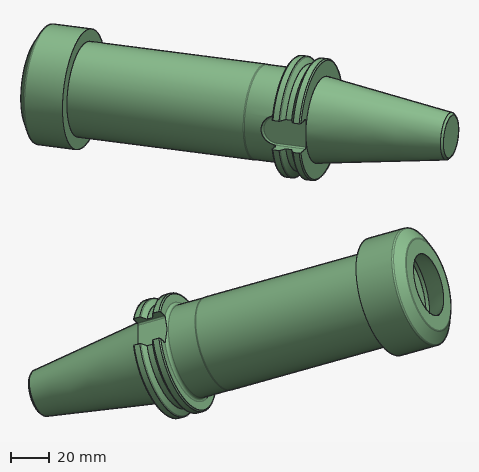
import cadquery as cq
import math

total_length = 228.4
taper_length = 68.4
gauge_x = total_length / 2 - taper_length
front_x = -total_length / 2
end_x = total_length / 2

nut_diameter = 63.0
nut_length = 25.7
nut_face_diameter = 49.4
nut_bevel_length = 4.2
nut_edge_radius = 1.0

mouth_diameter = 33.0
seat_diameter = 48.1
cone_length = 12.3
seat_depth = 14.4

body_diameter = 50.0
collar_diameter = 49.7
collar_distance = 123.0
collar_x = front_x + collar_distance
collar_step_length = 0.6
root_radius = 1.7

flange_diameter = 63.5
flange_width = 15.9
flange_gap = 3.2
flange_chamfer = 0.7
groove_chamfer = 0.5
groove_center_offset = 11.1
groove_diameter = 56.25
groove_floor_width = 3.2
groove_half_angle = 30.0

gauge_diameter = 44.45
taper_ratio = 7 / 24
taper_end_chamfer = 1.2

slot_width = 16.1
near_slot_floor = 22.8
far_slot_floor = 25.0
slot_corner_radius = 0.8

flange_end_x = gauge_x - flange_gap
flange_start_x = flange_end_x - flange_width


def taper_radius(x):
    """Radius of the taper at a position along X."""
    return (gauge_diameter - (x - gauge_x) * taper_ratio) / 2


def revolve(points):
    """Turn a closed (x, radius) outline around the X axis."""
    outline = cq.Workplane("XY").polyline(points).close()
    return outline.revolve(360, (0, 0, 0), (1, 0, 0))


def make_nut():
    nut = (
        cq.Workplane("YZ", origin=(front_x, 0, 0))
        .circle(nut_diameter / 2)
        .extrude(nut_length)
    )
    bevel_height = (nut_diameter - nut_face_diameter) / 2
    nut = nut.faces("<X").chamfer(nut_bevel_length, bevel_height)
    bevel_rims = nut.edges("%CIRCLE").edges("not >X")
    return bevel_rims.fillet(nut_edge_radius)


def make_body():
    start_x = front_x + seat_depth
    root_x = flange_start_x - root_radius
    collar_radius = collar_diameter / 2
    flange_middle_x = flange_start_x + flange_width / 2
    fillet_top = collar_radius + root_radius
    arc_offset = root_radius * math.sqrt(0.5)
    arc_middle = (root_x + arc_offset, fillet_top - arc_offset)
    outline = (
        cq.Workplane("XY")
        .moveTo(start_x, 0)
        .lineTo(start_x, body_diameter / 2)
        .lineTo(collar_x, body_diameter / 2)
        .lineTo(collar_x + collar_step_length, collar_radius)
        .lineTo(root_x, collar_radius)
        .threePointArc(arc_middle, (flange_start_x, fillet_top))
        .lineTo(flange_middle_x, fillet_top)
        .lineTo(flange_middle_x, 0)
        .close()
    )
    return outline.revolve(360, (0, 0, 0), (1, 0, 0))


def make_flange():
    radius = flange_diameter / 2
    floor_radius = groove_diameter / 2
    groove_x = gauge_x - groove_center_offset
    floor_half = groove_floor_width / 2
    wall_height = radius - groove_chamfer - floor_radius
    mouth_half = floor_half + wall_height * math.tan(math.radians(groove_half_angle))
    crest_half = mouth_half + groove_chamfer
    return revolve([
        (flange_start_x, 0),
        (flange_start_x, radius - flange_chamfer),
        (flange_start_x + flange_chamfer, radius),
        (groove_x - crest_half, radius),
        (groove_x - mouth_half, radius - groove_chamfer),
        (groove_x - floor_half, floor_radius),
        (groove_x + floor_half, floor_radius),
        (groove_x + mouth_half, radius - groove_chamfer),
        (groove_x + crest_half, radius),
        (flange_end_x - flange_chamfer, radius),
        (flange_end_x, radius - flange_chamfer),
        (flange_end_x, 0),
    ])


def make_taper():
    start_x = flange_end_x - flange_width / 2
    chamfer_x = end_x - taper_end_chamfer
    chamfer_radius = taper_radius(chamfer_x)
    return revolve([
        (start_x, 0),
        (start_x, taper_radius(flange_end_x)),
        (flange_end_x, taper_radius(flange_end_x)),
        (chamfer_x, chamfer_radius),
        (end_x, chamfer_radius - taper_end_chamfer),
        (end_x, 0),
    ])


def make_slot_cutter(floor_distance, side):
    """Round-ended drive slot through the flange on the given Y side (-1 or 1)."""
    height = flange_diameter / 2
    center_x = flange_start_x
    tool = (
        cq.Workplane("XZ")
        .moveTo(center_x, slot_width / 2)
        .lineTo(flange_end_x, slot_width / 2)
        .lineTo(flange_end_x, -slot_width / 2)
        .lineTo(center_x, -slot_width / 2)
        .threePointArc((center_x - slot_width / 2, 0), (center_x, slot_width / 2))
        .close()
        .extrude(-height)
    )
    tool = tool.faces("<Y").edges("not >X").fillet(slot_corner_radius)
    tool = tool.translate((0, floor_distance, 0))
    if side < 0:
        tool = tool.mirror("XZ")
    return tool


def make_front_cavity():
    mouth_radius = mouth_diameter / 2
    seat_radius = seat_diameter / 2
    return revolve([
        (front_x, 0),
        (front_x, mouth_radius),
        (front_x + cone_length, seat_radius),
        (front_x + seat_depth, seat_radius),
        (front_x + seat_depth, 0),
    ])


result = make_nut().union(make_body()).union(make_flange()).union(make_taper())
for floor_distance, side in ((near_slot_floor, -1), (far_slot_floor, 1)):
    result = result.cut(make_slot_cutter(floor_distance, side))
result = result.cut(make_front_cavity())